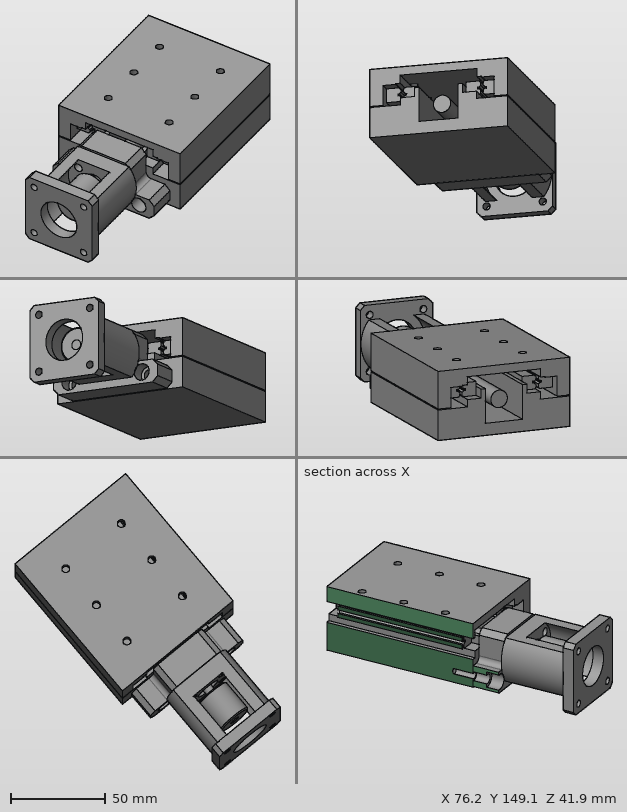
import cadquery as cq
import math


OVERALL_LENGTH = 149.1
STAGE_WIDTH = 76.2

PLATE_BACK_Y = 6.4
CAVITY_END_Y = 34.9
MOUNT_BACK_Y = 44.3
STAGE_FRONT_Y = 60.0
STAGE_LENGTH = OVERALL_LENGTH - STAGE_FRONT_Y
STAGE_MIDDLE_Y = STAGE_FRONT_Y + STAGE_LENGTH / 2

TABLE_TOP_Z = 20.5
TABLE_BOTTOM_Z = -0.1
BASE_TOP_Z = -0.7
BASE_BOTTOM_Z = -17.5

RAIL_WIDTH = 8.0
RAIL_BOTTOM_Z = 3.3
RAIL_TOP_Z = 10.9
RAIL_END_SETBACK = 6.5
RAIL_CHAMFER = 0.7
OUTER_RAIL_FACE_X = 22.7
INNER_RAIL_FACE_X = 21.3
GROOVE_HALF_HEIGHT = 1.3
GROOVE_SLIT_HALF_HEIGHT = 0.5
GROOVE_SLIT_DEPTH = 1.8
RAIL_MIDDLE_Z = (RAIL_BOTTOM_Z + RAIL_TOP_Z) / 2
GROOVE_DEPTH = GROOVE_HALF_HEIGHT - GROOVE_SLIT_HALF_HEIGHT

TABLE_POCKET_HALF_WIDTH = OUTER_RAIL_FACE_X + RAIL_WIDTH
TABLE_RELIEF_HALF_WIDTH = 23.7
TABLE_RELIEF_Z = 11.3
TABLE_RECESS_HALF_WIDTH = 21.2
TABLE_RECESS_Z = 15.8
TABLE_HOLE_DIAMETER = 4.2
TABLE_HOLE_SPACING_X = 38.2
TABLE_HOLE_SPACING_Y = 25.3

PEDESTAL_HALF_WIDTH = 21.0
SPINE_HALF_WIDTH = INNER_RAIL_FACE_X - RAIL_WIDTH
SPINE_TOP_Z = 8.2
CHANNEL_HALF_WIDTH = 10.7
CHANNEL_FLOOR_Z = -10.7

BLOCK_HALF_WIDTH = 16.8
BLOCK_TOP_Z = 14.0
BLOCK_BOTTOM_Z = -17.0
BLOCK_CHAMFER = 3.1
EAR_HALF_WIDTH = 31.8
EAR_TOP_Z = -4.5
EAR_FILLET = 3.1
EAR_SCREW_X = 22.0
EAR_SCREW_Z = (EAR_TOP_Z + BLOCK_BOTTOM_Z) / 2
EAR_HOLE_RADIUS = 2.7
EAR_COUNTERBORE_RADIUS = 4.5
EAR_COUNTERBORE_DEPTH = 7.5
BASE_HOLE_RADIUS = 1.8
BASE_HOLE_DEPTH = 12.0
DRILL_TIP_HALF_ANGLE = 59.0

PLATE_SIZE = 41.9
PLATE_CHAMFER = 2.5
PLATE_BORE_RADIUS = 11.2
PLATE_HOLE_DIAMETER = 3.9
PLATE_HOLE_SPACING = 31.0
BARREL_RADIUS = 20.6
BARREL_HALF_HEIGHT = 12.8
CAVITY_RADIUS = 16.1
MOUNT_HOLE_DIAMETER = 4.8
MOUNT_HOLE_X = 9.8
MOUNT_HOLE_Z = 7.3
MOUNT_SHAFT_BORE_RADIUS = 6.7

COUPLING_RADIUS = 9.5
COUPLING_FRONT_Y = 12.8
COUPLING_LENGTH = 19.0
COUPLING_CHAMFER = 0.7
JOURNAL_RADIUS = 2.7
SCREW_RADIUS = 4.8

SIDES = (-1, 1)


def extrude_along_y(sketch_at, y_start, y_end):
    """Workplane in XZ at y_start, drawn on by sketch_at and extruded to y_end."""
    plane = cq.Workplane("XZ", origin=(0, y_start, 0))
    return sketch_at(plane).extrude(y_start - y_end)


def cylinder_along_y(radius, y_start, y_end, x=0, z=0):
    return extrude_along_y(lambda plane: plane.center(x, z).circle(radius), y_start, y_end)


def box_between(half_width, y_start, y_end, z_bottom, z_top):
    """Box centred on x = 0."""
    return cq.Workplane("XY").box(
        2 * half_width, y_end - y_start, z_top - z_bottom, centered=(True, False, False)
    ).translate((0, y_start, z_bottom))


def stage_box(half_width, z_bottom, z_top):
    """Box centred on x = 0 that runs the full length of the stage."""
    return box_between(half_width, STAGE_FRONT_Y, OVERALL_LENGTH, z_bottom, z_top)


def make_table():
    table = stage_box(STAGE_WIDTH / 2, TABLE_BOTTOM_Z, TABLE_TOP_Z)
    table = table.cut(stage_box(TABLE_POCKET_HALF_WIDTH, TABLE_BOTTOM_Z, RAIL_TOP_Z))
    table = table.cut(stage_box(TABLE_RELIEF_HALF_WIDTH, RAIL_TOP_Z, TABLE_RELIEF_Z))
    table = table.cut(stage_box(TABLE_RECESS_HALF_WIDTH, RAIL_TOP_Z, TABLE_RECESS_Z))
    mounting_holes = (
        cq.Workplane("XY", origin=(0, STAGE_MIDDLE_Y, TABLE_RECESS_Z))
        .rarray(TABLE_HOLE_SPACING_X, TABLE_HOLE_SPACING_Y, 2, 3)
        .circle(TABLE_HOLE_DIAMETER / 2)
        .extrude(TABLE_TOP_Z - TABLE_RECESS_Z)
    )
    return table.cut(mounting_holes)


def make_base_screw_hole(side):
    """Blind hole with a conical drill tip, entering the front of the base."""
    hole_end_y = STAGE_FRONT_Y + BASE_HOLE_DEPTH
    tip_y = hole_end_y + BASE_HOLE_RADIUS / math.tan(math.radians(DRILL_TIP_HALF_ANGLE))
    half_section = (
        cq.Workplane("XY")
        .moveTo(0, STAGE_FRONT_Y)
        .lineTo(BASE_HOLE_RADIUS, STAGE_FRONT_Y)
        .lineTo(BASE_HOLE_RADIUS, hole_end_y)
        .lineTo(0, tip_y)
        .close()
    )
    hole = half_section.revolve(360, (0, 0, 0), (0, 1, 0))
    return hole.translate((side * EAR_SCREW_X, 0, EAR_SCREW_Z))


def make_base():
    base = stage_box(STAGE_WIDTH / 2, BASE_BOTTOM_Z, BASE_TOP_Z)
    base = base.union(stage_box(PEDESTAL_HALF_WIDTH, BASE_TOP_Z, RAIL_BOTTOM_Z))
    base = base.union(stage_box(SPINE_HALF_WIDTH, RAIL_BOTTOM_Z, SPINE_TOP_Z))
    base = base.cut(stage_box(CHANNEL_HALF_WIDTH, CHANNEL_FLOOR_Z, SPINE_TOP_Z))
    for side in SIDES:
        base = base.cut(make_base_screw_hole(side))
    return base


def make_rail(face_x, back_x):
    """Rail with a V groove and a slit in its running face; back_x is its seated face."""
    into_rail = math.copysign(1, back_x - face_x)
    y_start = STAGE_FRONT_Y + RAIL_END_SETBACK
    y_end = OVERALL_LENGTH - RAIL_END_SETBACK
    groove_x = face_x + into_rail * GROOVE_DEPTH
    slit_x = face_x + into_rail * GROOVE_SLIT_DEPTH
    chamfer_x = face_x + into_rail * RAIL_CHAMFER
    profile = [
        (back_x, RAIL_BOTTOM_Z),
        (chamfer_x, RAIL_BOTTOM_Z),
        (face_x, RAIL_BOTTOM_Z + RAIL_CHAMFER),
        (face_x, RAIL_MIDDLE_Z - GROOVE_HALF_HEIGHT),
        (groove_x, RAIL_MIDDLE_Z - GROOVE_SLIT_HALF_HEIGHT),
        (slit_x, RAIL_MIDDLE_Z - GROOVE_SLIT_HALF_HEIGHT),
        (slit_x, RAIL_MIDDLE_Z + GROOVE_SLIT_HALF_HEIGHT),
        (groove_x, RAIL_MIDDLE_Z + GROOVE_SLIT_HALF_HEIGHT),
        (face_x, RAIL_MIDDLE_Z + GROOVE_HALF_HEIGHT),
        (face_x, RAIL_TOP_Z - RAIL_CHAMFER),
        (chamfer_x, RAIL_TOP_Z),
        (back_x, RAIL_TOP_Z),
    ]
    return extrude_along_y(lambda plane: plane.polyline(profile).close(), y_start, y_end)


def make_end_block():
    y_start, y_end = MOUNT_BACK_Y, STAGE_FRONT_Y
    tower = box_between(BLOCK_HALF_WIDTH, y_start, y_end, BLOCK_BOTTOM_Z, BLOCK_TOP_Z)
    tower = tower.edges("|Y and >Z").chamfer(BLOCK_CHAMFER)
    ears = box_between(EAR_HALF_WIDTH, y_start, y_end, BLOCK_BOTTOM_Z, EAR_TOP_Z)
    ears = ears.edges("|Y").chamfer(BLOCK_CHAMFER)
    block = tower.union(ears)
    for side in SIDES:
        inner_corner = cq.selectors.NearestToPointSelector(
            (side * BLOCK_HALF_WIDTH, (y_start + y_end) / 2, EAR_TOP_Z)
        )
        block = block.edges(inner_corner).fillet(EAR_FILLET)
    for side in SIDES:
        screw_x = side * EAR_SCREW_X
        counterbore_end_y = y_start + EAR_COUNTERBORE_DEPTH
        block = block.cut(cylinder_along_y(EAR_HOLE_RADIUS, y_start, y_end, screw_x, EAR_SCREW_Z))
        block = block.cut(
            cylinder_along_y(EAR_COUNTERBORE_RADIUS, y_start, counterbore_end_y, screw_x, EAR_SCREW_Z)
        )
    return block.cut(cylinder_along_y(JOURNAL_RADIUS, y_start, y_end))


def make_motor_mount():
    plate = box_between(PLATE_SIZE / 2, 0, PLATE_BACK_Y, -PLATE_SIZE / 2, PLATE_SIZE / 2)
    plate = plate.edges("|Y").chamfer(PLATE_CHAMFER)
    plate_holes = extrude_along_y(
        lambda plane: plane.rarray(PLATE_HOLE_SPACING, PLATE_HOLE_SPACING, 2, 2)
        .circle(PLATE_HOLE_DIAMETER / 2),
        0, PLATE_BACK_Y,
    )
    plate = plate.cut(plate_holes)
    plate = plate.cut(cylinder_along_y(PLATE_BORE_RADIUS, 0, PLATE_BACK_Y))

    barrel = cylinder_along_y(BARREL_RADIUS, PLATE_BACK_Y, MOUNT_BACK_Y)
    barrel = barrel.intersect(
        box_between(BARREL_RADIUS, PLATE_BACK_Y, MOUNT_BACK_Y, -BARREL_HALF_HEIGHT, BARREL_HALF_HEIGHT)
    )
    barrel = barrel.cut(cylinder_along_y(CAVITY_RADIUS, PLATE_BACK_Y, CAVITY_END_Y))
    wall_holes = extrude_along_y(
        lambda plane: plane.rarray(2 * MOUNT_HOLE_X, 2 * MOUNT_HOLE_Z, 2, 2)
        .circle(MOUNT_HOLE_DIAMETER / 2),
        CAVITY_END_Y, MOUNT_BACK_Y,
    )
    barrel = barrel.cut(wall_holes)
    barrel = barrel.cut(cylinder_along_y(MOUNT_SHAFT_BORE_RADIUS, CAVITY_END_Y, MOUNT_BACK_Y))
    return plate.union(barrel)


def make_coupling():
    back_y = COUPLING_FRONT_Y + COUPLING_LENGTH
    coupling = cylinder_along_y(COUPLING_RADIUS, COUPLING_FRONT_Y, back_y)
    coupling = coupling.edges().chamfer(COUPLING_CHAMFER)
    return coupling.cut(cylinder_along_y(JOURNAL_RADIUS, COUPLING_FRONT_Y, back_y))


def make_screw():
    """Screw whose thinner journal runs forward through the end block, mount and coupling."""
    journal = cylinder_along_y(JOURNAL_RADIUS, COUPLING_FRONT_Y, STAGE_FRONT_Y)
    thread = cylinder_along_y(SCREW_RADIUS, STAGE_FRONT_Y, OVERALL_LENGTH - RAIL_END_SETBACK)
    return journal.union(thread)


table = make_table()
base = make_base()
outer_rails = [make_rail(side * OUTER_RAIL_FACE_X, side * TABLE_POCKET_HALF_WIDTH) for side in SIDES]
inner_rails = [make_rail(side * INNER_RAIL_FACE_X, side * SPINE_HALF_WIDTH) for side in SIDES]
end_block = make_end_block()
motor_mount = make_motor_mount()
coupling = make_coupling()
screw = make_screw()

result = cq.Compound.makeCompound([
    table.val(),
    base.val(),
    *[rail.val() for rail in outer_rails],
    *[rail.val() for rail in inner_rails],
    end_block.val(),
    motor_mount.val(),
    coupling.val(),
    screw.val(),
])